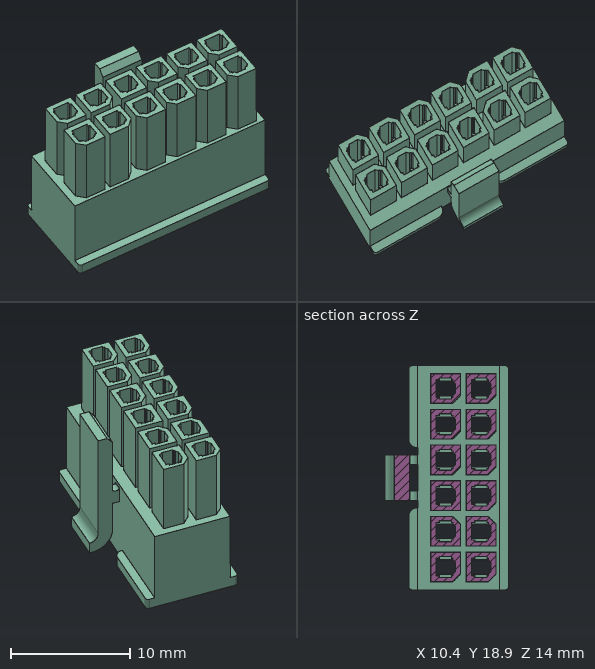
import cadquery as cq

LENGTH = 18.85
BODY_WIDTH = 6.9
BODY_HEIGHT = 7.62
TOTAL_HEIGHT = 14.0

FLANGE_WIDTH = 0.75
FLANGE_HEIGHT = 1.0
FLANGE_CORNER_RADIUS = 0.28
FLANGE_GAP = 5.03
GAP_CORNER_RADIUS = 0.7

ROWS = 6
ROW_PITCH = 3.0
COLUMN_PITCH = 2.98
TOWER_SIZE = 2.5
TOWER_CHAMFER = 0.66
FIRST_COLUMN_X = 2.35
COLUMN_X = [FIRST_COLUMN_X, FIRST_COLUMN_X + COLUMN_PITCH]
COLUMN_KEYS = [
    ["-Y", "+Y", None, "-Y", "-Y", "-Y"],
    ["-Y", "+Y", "-Y", "-Y", "-Y", "-Y"],
]

CAVITY_LEFT = -0.8
CAVITY_RIGHT = 0.81
CAVITY_SHOULDER = 0.6
CAVITY_WIDTH = 1.45
THROUGH_WIDTH = 1.19
NOSE_WIDTH = 0.8
GROOVE_LEFT = -0.53
GROOVE_RIGHT = 0.49
GROOVE_WIDTH = 1.73

LATCH_WIDTH = 3.88
LATCH_TIP_X = -2.75
LATCH_OUTER_X = -1.96
LATCH_INNER_X = -0.65
LATCH_TOP = 13.0
LATCH_BOTTOM = 1.13
LATCH_CHAMFER_X = 0.49
LATCH_CHAMFER_Z = 0.58
LATCH_BEND_Z = 3.0

BRIDGE_BOTTOM = 5.85
BRIDGE_TOP = 7.24
BRIDGE_DIP = 0.141
BRIDGE_LENGTH = 0.85


def block(x_min, x_max, y_min, y_max, z_min, z_max):
    size = (x_max - x_min, y_max - y_min, z_max - z_min)
    return cq.Workplane("XY").box(*size, centered=False).translate((x_min, y_min, z_min))


def make_housing():
    half_length = LENGTH / 2
    half_gap = FLANGE_GAP / 2
    left = -FLANGE_WIDTH
    right = BODY_WIDTH + FLANGE_WIDTH
    base = block(left, right, -half_length, half_length, 0, FLANGE_HEIGHT)
    base = base.edges("|Z").fillet(FLANGE_CORNER_RADIUS)
    gap = block(left, 0, -half_gap, half_gap, 0, FLANGE_HEIGHT)
    base = base.cut(gap)
    for side in (-1, 1):
        corner = cq.selectors.NearestToPointSelector((left, side * half_gap, FLANGE_HEIGHT / 2))
        base = base.edges("|Z").edges(corner).fillet(GAP_CORNER_RADIUS)
    body = block(0, BODY_WIDTH, -half_length, half_length, 0, BODY_HEIGHT)
    return body.union(base)


def make_tower(key):
    tower = cq.Workplane("XY").rect(TOWER_SIZE, TOWER_SIZE).extrude(TOTAL_HEIGHT - BODY_HEIGHT)
    if key == "-Y":
        tower = tower.edges("|Z and >X and <Y").chamfer(TOWER_CHAMFER)
    elif key == "+Y":
        tower = tower.edges("|Z and >X and >Y").chamfer(TOWER_CHAMFER)
    return tower.translate((0, 0, BODY_HEIGHT))


def make_cavity():
    """Blunt-nosed hole through the part, widened and grooved within the tower."""
    half_through = THROUGH_WIDTH / 2
    half_nose = NOSE_WIDTH / 2
    through = (
        cq.Workplane("XY")
        .moveTo(CAVITY_LEFT, -half_through)
        .lineTo(CAVITY_SHOULDER, -half_through)
        .lineTo(CAVITY_RIGHT, -half_nose)
        .lineTo(CAVITY_RIGHT, half_nose)
        .lineTo(CAVITY_SHOULDER, half_through)
        .lineTo(CAVITY_LEFT, half_through)
        .close()
        .extrude(TOTAL_HEIGHT)
    )
    half_cavity = CAVITY_WIDTH / 2
    half_groove = GROOVE_WIDTH / 2
    socket = block(CAVITY_LEFT, CAVITY_SHOULDER, -half_cavity, half_cavity, BODY_HEIGHT, TOTAL_HEIGHT)
    grooves = block(GROOVE_LEFT, GROOVE_RIGHT, -half_groove, half_groove, BODY_HEIGHT, TOTAL_HEIGHT)
    return through.union(socket).union(grooves)


def make_latch():
    outer_radius = LATCH_BEND_Z - LATCH_BOTTOM
    inner_radius = LATCH_OUTER_X - LATCH_TIP_X
    arm = (
        cq.Workplane("XZ")
        .moveTo(LATCH_OUTER_X, LATCH_TOP)
        .lineTo(LATCH_INNER_X - LATCH_CHAMFER_X, LATCH_TOP)
        .lineTo(LATCH_INNER_X, LATCH_TOP - LATCH_CHAMFER_Z)
        .lineTo(LATCH_INNER_X, LATCH_BEND_Z)
        .radiusArc((LATCH_INNER_X - outer_radius, LATCH_BOTTOM), outer_radius)
        .lineTo(LATCH_TIP_X, LATCH_BOTTOM)
        .lineTo(LATCH_TIP_X, LATCH_BEND_Z - inner_radius)
        .radiusArc((LATCH_OUTER_X, LATCH_BEND_Z), -inner_radius)
        .close()
        .extrude(LATCH_WIDTH / 2, both=True)
    )
    bridge = (
        cq.Workplane("XZ")
        .moveTo(LATCH_INNER_X, BRIDGE_BOTTOM)
        .lineTo(0, BRIDGE_BOTTOM)
        .lineTo(0, BRIDGE_TOP)
        .threePointArc((LATCH_INNER_X / 2, BRIDGE_TOP - BRIDGE_DIP), (LATCH_INNER_X, BRIDGE_TOP))
        .close()
        .extrude(BRIDGE_LENGTH / 2, both=True)
    )
    bridge_y = (LATCH_WIDTH - BRIDGE_LENGTH) / 2
    for side in (-1, 1):
        arm = arm.union(bridge.translate((0, side * bridge_y, 0)))
    return arm


result = make_housing().union(make_latch())
cavity = make_cavity()
for x, keys in zip(COLUMN_X, COLUMN_KEYS):
    for row, key in enumerate(keys):
        y = (row - (ROWS - 1) / 2) * ROW_PITCH
        result = result.union(make_tower(key).translate((x, y, 0)))
        result = result.cut(cavity.translate((x, y, 0)))